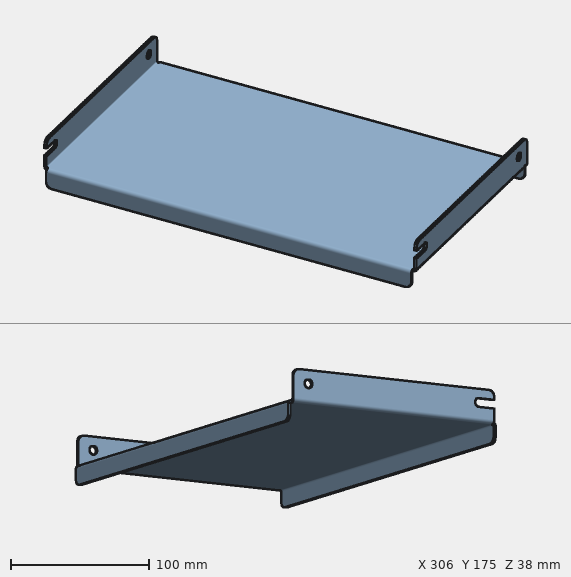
import cadquery as cq

length = 306.0
width = 175.0
height = 38.0

thickness = 2.0
inner_bend = 1.0
outer_bend = inner_bend + thickness
corner_radius = 5.0

lip_drop = 15.0
ear_rise = height - lip_drop
flat_length = length - 2 * outer_bend
flat_width = width - 2 * outer_bend

hole_diameter = 6.5
hole_inset = 12.5
hole_below_top = 10.0
slot_inset = 13.0


def bent_flange(plane, span, extent, direction):
    """Bend and straight flange on the right of the plane, rising (+1) or dropping (-1) by extent.

    The profile starts at the outer surface of the plate, which is the convex side of the bend.
    """
    inner_face = 0 if direction > 0 else -thickness
    outer_face = inner_face - direction * thickness
    bend_centre = inner_face + direction * inner_bend
    return (
        cq.Workplane(plane)
        .moveTo(0, outer_face)
        .radiusArc((outer_bend, bend_centre), -direction * outer_bend)
        .lineTo(outer_bend, direction * extent)
        .lineTo(inner_bend, direction * extent)
        .lineTo(inner_bend, bend_centre)
        .radiusArc((0, inner_face), direction * inner_bend)
        .close()
        .extrude(span / 2, both=True)
    )


def make_lip():
    plane = cq.Plane(origin=(0, flat_width / 2, 0), xDir=(0, 1, 0), normal=(1, 0, 0))
    lip = bent_flange(plane, flat_length, lip_drop, -1)
    return lip.faces("<Z").edges("|Y").fillet(corner_radius)


def make_ear():
    plane = cq.Plane(origin=(flat_length / 2, 0, 0), xDir=(1, 0, 0), normal=(0, -1, 0))
    ear = bent_flange(plane, flat_width, ear_rise, 1)
    return ear.faces(">Z").edges("|X").fillet(corner_radius)


def make_ear_openings():
    """Cutters running the full length of the part, through both ears."""
    opening_z = ear_rise - hole_below_top
    hole_y = flat_width / 2 - hole_inset
    slot_end_y = -flat_width / 2 + slot_inset
    side = cq.Workplane("YZ")
    hole = side.center(hole_y, opening_z).circle(hole_diameter / 2).extrude(length / 2, both=True)
    slot = (
        side.center(slot_end_y - slot_inset, opening_z)
        .slot2D(2 * slot_inset + hole_diameter, hole_diameter)
        .extrude(length / 2, both=True)
    )
    return hole.union(slot)


plate = cq.Workplane("XY").box(flat_length, flat_width, thickness, centered=(True, True, False))
result = plate.translate((0, 0, -thickness))

for flange, mirror_plane in ((make_lip(), "XZ"), (make_ear(), "YZ")):
    result = result.union(flange).union(flange.mirror(mirror_plane))

result = result.cut(make_ear_openings())